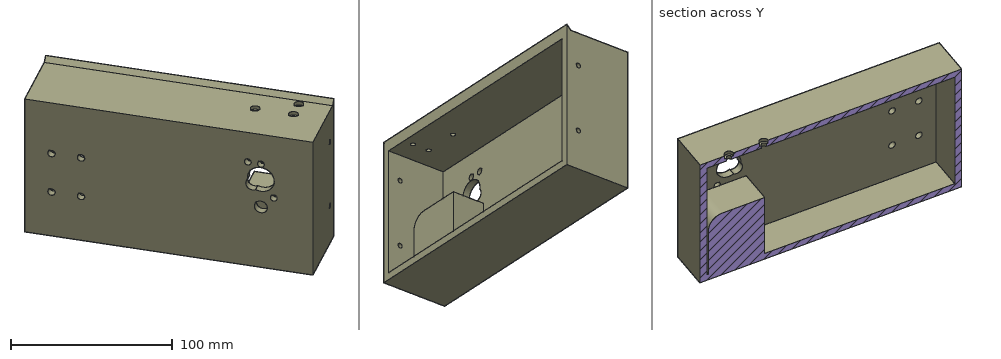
import cadquery as cq

length = 185.04
depth = 47.57
total_height = 100.0
lip_size = 3.25
body_height = total_height - lip_size
wall = 5.0

block_left = 46.8
block_back = 28.5
block_top = 50.8
block_flat_right = 76.6
block_rounding = 10.0

mount_hole_diameter = 4.7
mount_center_x = -65.8
mount_center_z = 46.0
mount_spacing_x = 19.0
mount_spacing_z = 28.0

opening_x = 59.1
opening_z = 64.0
opening_diameter = 17.2
lobe_diameter = 8.4
lobe_offset = (-5.5, -4.3)
connector_hole_diameter = 4.3
connector_hole_offsets = [(-8.4, 11.3), (0.0, 11.1), (8.2, -12.2)]
lower_hole_diameter = 8.4
lower_hole_drop = 20.0

screw_diameter = 3.2
counterbore_diameter = 6.0
counterbore_depth = 2.4
top_hole_points = [(47.4, 28.3), (72.0, 28.3), (72.0, 40.5)]

side_hole_y = 38.6
side_hole_heights = [27.4, 73.7]


def make_box():
    """Outer body with its lip, hollowed from the back."""
    profile = [
        (0, 0),
        (depth, 0),
        (depth, total_height),
        (depth - lip_size, body_height),
        (0, body_height),
    ]
    outer = cq.Workplane("YZ").polyline(profile).close().extrude(length / 2, both=True)
    cavity = cq.Workplane("XY").box(
        length - 2 * wall, depth - wall, body_height - 2 * wall, centered=(True, False, False)
    )
    return outer.cut(cavity.translate((0, wall, wall)))


def make_block():
    """Block standing on the floor, against the front panel, with its top right edge rounded."""
    block_length = block_flat_right + block_rounding - block_left
    block = cq.Workplane("XY").box(block_length, block_back, block_top, centered=False)
    block = block.edges(">X and >Z").fillet(block_rounding)
    return block.translate((block_left, 0, 0))


def front_hole(x, z, diameter):
    """Hole through the front panel only."""
    return cq.Workplane("XZ").center(x, z).circle(diameter / 2).extrude(-wall)


def cut_mount_holes(part):
    for side_x in (-0.5, 0.5):
        for side_z in (-0.5, 0.5):
            x = mount_center_x + side_x * mount_spacing_x
            z = mount_center_z + side_z * mount_spacing_z
            part = part.cut(front_hole(x, z, mount_hole_diameter))
    return part


def cut_connector_opening(part):
    lobe_x, lobe_z = lobe_offset
    part = part.cut(front_hole(opening_x, opening_z, opening_diameter))
    part = part.cut(front_hole(opening_x + lobe_x, opening_z + lobe_z, lobe_diameter))
    for offset_x, offset_z in connector_hole_offsets:
        part = part.cut(front_hole(opening_x + offset_x, opening_z + offset_z, connector_hole_diameter))
    return part.cut(front_hole(opening_x, opening_z - lower_hole_drop, lower_hole_diameter))


def cut_top_holes(part):
    top = cq.Workplane("XY", origin=(0, 0, body_height)).pushPoints(top_hole_points)
    counterbores = top.circle(counterbore_diameter / 2).extrude(-counterbore_depth)
    screw_holes = top.circle(screw_diameter / 2).extrude(-wall)
    return part.cut(counterbores).cut(screw_holes)


def cut_side_holes(part):
    points = [(side_hole_y, z) for z in side_hole_heights]
    holes = cq.Workplane("YZ").pushPoints(points).circle(screw_diameter / 2).extrude(length / 2, both=True)
    return part.cut(holes)


result = make_box().union(make_block())
result = cut_mount_holes(result)
result = cut_connector_opening(result)
result = cut_top_holes(result)
result = cut_side_holes(result)